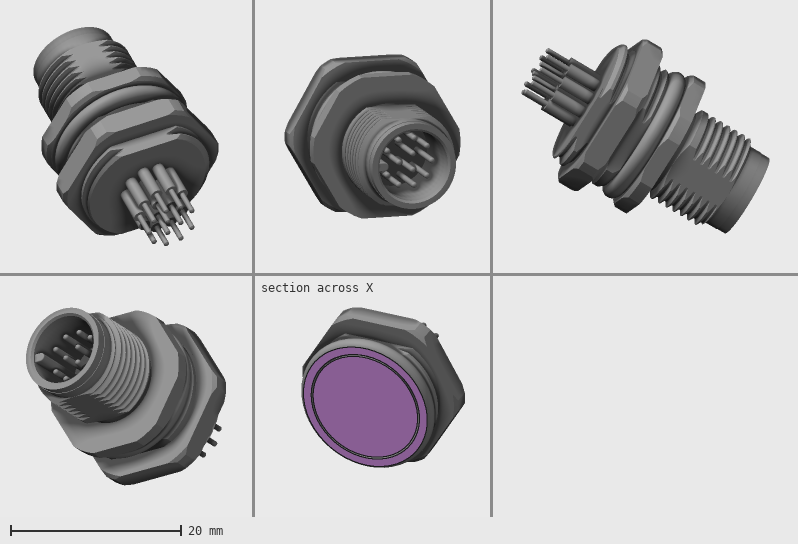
import cadquery as cq
import math


nose_step = 1.17
front_thread_start = 2.65
front_thread_end = 10.15
flange_front = 11.18
flange_back = 13.17
rear_thread_start = 15.33
nut_front = 17.45
nut_back = 20.2
body_back = 22.2
cup_back = 26.15
total_length = 29.2

nose_radius = 5.15
neck_radius = 5.2
bore_radius = 4.2
bore_depth = 8.75
bore_chamfer = 0.25
key_front = 0.53
key_radius = 0.55
key_axis_offset = 3.5
key_edge_fillet = 0.15

front_thread_radius = 12.0 / 2
front_pitch = front_thread_radius / 6
front_groove_at_top = 3.77
front_root_radius = 5.45
front_root_width = front_pitch / 4
front_chamfer_length = 0.47
front_flat = 10.42 / 2

rear_thread_radius = 8.0
rear_pitch = 1.5 * front_pitch
rear_groove_at_top = 16.65
rear_root_radius = 7.27
rear_root_width = 0.25
rear_chamfer_length = 0.55
rear_chamfer_depth = 0.4
rear_flat = 13.45 / 2

barrel_seam_angle = 120

flange_half_width = 16.97 / 2
flange_corner_radius = 9.02
nut_half_width = 18.0 / 2
nut_corner_radius = 20.0 / 2
hex_chamfer = 0.4

ring_radius = 1.02
ring_center_radius = 7.45
ring_center = flange_back + ring_radius

outer_contact_radius = 2.92
outer_contact_count = 9
outer_contact_step = 37.6
inner_contact_radius = 1.125
inner_contact_count = 3
pin_radius = 0.35
pin_front = 2.2
tail_chamfer = 0.15
tail_radius = 0.32
cup_radius = 0.73
tip_fillet = 0.9 * pin_radius


def cylinders(radius, start, end, places=((0, 0),)):
    """Cylinders along X between two positions, one at each (y, z) place."""
    return cq.Workplane("YZ", origin=(start, 0, 0)).pushPoints(places).circle(radius).extrude(end - start)


def chamfered_cylinder(radius, start, end, length, depth, front=True):
    """Cylinder along X with turned chamfers on the back end and, if asked, the front end."""
    points = [(start, 0)]
    if front:
        points += [(start, radius - depth), (start + length, radius)]
    else:
        points += [(start, radius)]
    points += [(end - length, radius), (end, radius - depth), (end, 0)]
    return cq.Workplane("XY").polyline(points).close().revolve(360, (0, 0, 0), (1, 0, 0))


def thread_groove(radius, root_radius, root_width, pitch, groove_at_top, first_turn, last_turn):
    """Right-handed 60 degree groove; turns are counted from where it passes the +Z side."""
    root_half = root_width / 2
    overshoot = pitch / 16
    top_half = root_half + (radius + overshoot - root_radius) * math.tan(math.radians(30))
    start = groove_at_top + first_turn * pitch
    height = (last_turn - first_turn) * pitch
    helix = cq.Wire.makeHelix(pitch, height, root_radius)
    profile = (
        cq.Workplane("XZ")
        .polyline([
            (root_radius, -root_half),
            (radius + overshoot, -top_half),
            (radius + overshoot, top_half),
            (root_radius, root_half),
        ])
        .close()
    )
    groove = profile.sweep(cq.Workplane(obj=helix), isFrenet=True)
    return (
        groove.rotate((0, 0, 0), (0, 0, 1), 180 + 360 * first_turn)
        .rotate((0, 0, 0), (0, 1, 0), 90)
        .translate((start, 0, 0))
    )


def threaded_barrel(blank, groove, flat_height, start, end):
    """Cut the groove into a round blank, then two flats facing +Z and -Z."""
    width = 3 * flat_height
    slab = cq.Workplane("XY").box(end - start, width, 2 * flat_height, centered=(False, True, True))
    barrel = blank.rotate((0, 0, 0), (1, 0, 0), barrel_seam_angle).cut(groove)
    return barrel.intersect(slab.translate((start, 0, 0)))


def hexagon(half_width, corner_radius, start, end, front_chamfer):
    """Hexagon with flats facing +Z and -Z and turned, chamfered corners."""
    corner_diameter = 2 * half_width / math.cos(math.radians(30))
    prism = cq.Workplane("YZ", origin=(start, 0, 0)).polygon(6, corner_diameter).extrude(end - start)
    return prism.intersect(
        chamfered_cylinder(corner_radius, start, end, hex_chamfer, hex_chamfer, front_chamfer)
    )


def contact_places():
    """(y, z) of each contact: an open ring with its gap at the key, and an inner ring."""
    places = []
    middle = (outer_contact_count - 1) / 2
    for i in range(outer_contact_count):
        angle = math.radians(180 + (i - middle) * outer_contact_step)
        places.append((outer_contact_radius * math.cos(angle), outer_contact_radius * math.sin(angle)))
    for i in range(inner_contact_count):
        angle = math.radians(i * 360 / inner_contact_count)
        places.append((inner_contact_radius * math.cos(angle), inner_contact_radius * math.sin(angle)))
    return places


front_barrel = threaded_barrel(
    chamfered_cylinder(
        front_thread_radius, front_thread_start, front_thread_end,
        front_chamfer_length, front_thread_radius - neck_radius,
    ),
    thread_groove(
        front_thread_radius, front_root_radius, front_root_width,
        front_pitch, front_groove_at_top, -1, 5.5,
    ),
    front_flat, front_thread_start, front_thread_end,
)
rear_barrel = threaded_barrel(
    chamfered_cylinder(
        rear_thread_radius, rear_thread_start, body_back,
        rear_chamfer_length, rear_chamfer_depth,
    ),
    thread_groove(
        rear_thread_radius, rear_root_radius, rear_root_width,
        rear_pitch, rear_groove_at_top, -0.5, 4,
    ),
    rear_flat, rear_thread_start, body_back,
)

socket = (
    cylinders(nose_radius, 0, nose_step)
    .union(cylinders(neck_radius, nose_step, front_thread_start))
    .union(front_barrel)
    .union(cylinders(neck_radius, front_thread_end, flange_front))
)
bore_mouth = (
    cq.Workplane("YZ")
    .circle(bore_radius + bore_chamfer)
    .workplane(offset=bore_chamfer)
    .circle(bore_radius)
    .loft()
)
socket = socket.cut(cylinders(bore_radius, 0, bore_depth)).cut(bore_mouth)

key_reach = (bore_radius + nose_radius) / 2
key = (
    cq.Workplane("YZ", origin=(key_front, 0, 0))
    .moveTo(key_reach, -key_radius)
    .lineTo(key_axis_offset, -key_radius)
    .threePointArc((key_axis_offset - key_radius, 0), (key_axis_offset, key_radius))
    .lineTo(key_reach, key_radius)
    .close()
    .extrude(bore_depth - key_front)
    .faces("<X")
    .edges("not >Y")
    .fillet(key_edge_fillet)
)

ring_core = cylinders(rear_flat, flange_back, rear_thread_start)
sealing_ring = (
    cq.Workplane("XY", origin=(ring_center, ring_center_radius, 0))
    .circle(ring_radius)
    .revolve(360, (0, -ring_center_radius, 0), (1, -ring_center_radius, 0))
)

places = contact_places()
pins = cylinders(pin_radius, pin_front, bore_depth, places).faces("<X").edges().fillet(tip_fillet)
solder_ends = cylinders(cup_radius, body_back, cup_back, places)
tails = cylinders(tail_radius, cup_back, total_length, places).faces(">X").edges().chamfer(tail_chamfer)
contact_tails = solder_ends.union(tails)

result = (
    hexagon(flange_half_width, flange_corner_radius, flange_front, flange_back, False)
    .union(ring_core)
    .union(sealing_ring)
    .union(rear_barrel)
    .union(hexagon(nut_half_width, nut_corner_radius, nut_front, nut_back, True))
    .union(contact_tails)
    .union(socket)
    .union(key)
    .union(pins)
)